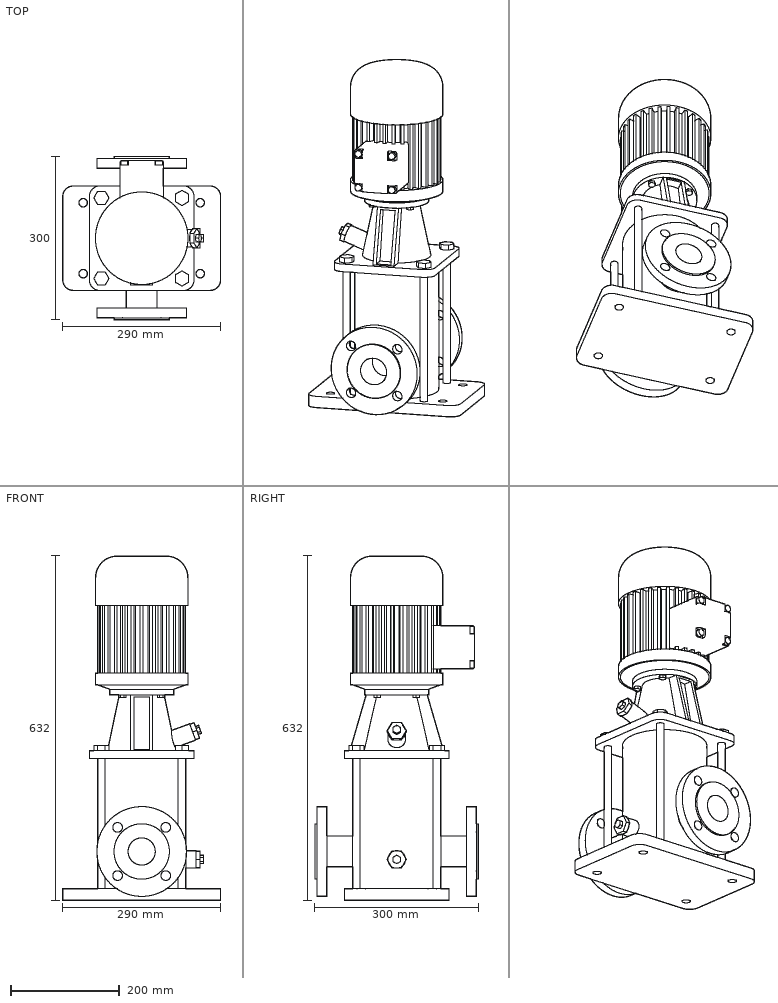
import cadquery as cq
import math


base_length = 290.0
plate_width = 192.0
base_thickness = 21.5
plate_corner_radius = 19.5
base_hole_diameter = 15.0
base_hole_x = 107.5
base_hole_y = 65.0

barrel_diameter = 155.0
upper_plate_bottom = 260.5
upper_plate_top = 275.0
rod_diameter = 14.0
rod_offset = 74.0
nut_across_corners = 28.0
nut_height = 9.5

port_height = 90.0
port_span = 300.0
port_face_y = port_span / 2
raised_face_diameter = 102.0
raised_face_height = 4.0
flange_diameter = 165.0
flange_thickness = 18.5
pipe_diameter = 57.0
bore_diameter = 50.0
flange_hole_diameter = 18.0
flange_hole_offset = 44.0

lantern_bottom_diameter = 126.0
lantern_top_diameter = 83.0
rib_outer_x = 20.0
rib_thickness = 6.5
rib_bottom_y = 86.0
rib_top_y = 56.0
foot_web_height = 2.0
head_web_height = 4.5

motor_foot_bottom = 377.0
motor_foot_top = 387.5
motor_ring_bottom = 395.5
fins_bottom = 417.0
fins_top = 541.0
motor_top = 632.0
motor_foot_diameter = 118.0
motor_diameter = 170.0
motor_bell_diameter = 163.0
dome_radius = 40.0
fin_count = 30
fin_thickness = 6.0
fin_tip_radius = 81.0
fin_root_radius = 69.5
core_overlap = 6.5
foot_bolt_spacing = 71.5
foot_bolt_across_corners = 13.0
foot_bolt_height = 5.0

box_width = 79.5
box_bottom = 425.0
box_top = 504.5
box_inner_y = 57.0
box_outer_y = 143.0
box_edge_radius = 4.5
lid_notch_width = 16.0
lid_notch_depth = 8.0
lid_screw_diameter = 12.5
lid_screw_height = 7.0

plug_diameter = 32.0
plug_cap_across_corners = 35.5
plug_cap_height = 8.0
plug_head_across_corners = 16.0
plug_head_height = 6.5
drain_height = 75.0
drain_cap_x = 99.0
vent_tilt = 20.0
vent_cap_x = 93.5
vent_cap_z = 309.0
plug_embedded_length = 57.0


def cylinder(diameter, bottom, top):
    return cq.Workplane("XY").workplane(offset=bottom).circle(diameter / 2).extrude(top - bottom)


def hexagon_prism(across_corners, height):
    return cq.Workplane("XY").polygon(6, across_corners).extrude(height)


def square_points(offset):
    return [(x, y) for x in (-offset, offset) for y in (-offset, offset)]


def rounded_plate(length, bottom, top):
    plate = cq.Workplane("XY").workplane(offset=bottom).rect(length, plate_width).extrude(top - bottom)
    return plate.edges("|Z").fillet(plate_corner_radius)


def make_base():
    holes = [(x, y) for x in (-base_hole_x, base_hole_x) for y in (-base_hole_y, base_hole_y)]
    base = rounded_plate(base_length, 0, base_thickness)
    return base.faces(">Z").workplane(origin=(0, 0, 0)).pushPoints(holes).hole(base_hole_diameter)


def make_pump_body():
    body = cylinder(barrel_diameter, base_thickness, upper_plate_bottom)
    body = body.union(rounded_plate(plate_width, upper_plate_bottom, upper_plate_top))
    for x, y in square_points(rod_offset):
        body = body.union(cylinder(rod_diameter, base_thickness, upper_plate_bottom).translate((x, y, 0)))
        turn = 30 if x > 0 else 0
        nut = hexagon_prism(nut_across_corners, nut_height).rotate((0, 0, 0), (0, 0, 1), turn)
        body = body.union(nut.translate((x, y, upper_plate_top)))
    return body


def make_port():
    """Pipe and flange on the -Y side, bored up to the surface of the barrel."""
    flange_front = port_face_y - raised_face_height

    def disc(diameter, outer_y, depth):
        sketch = cq.Workplane("XZ").workplane(offset=outer_y).center(0, port_height)
        return sketch.circle(diameter / 2).extrude(-depth)

    port = disc(raised_face_diameter, port_face_y, raised_face_height)
    port = port.union(disc(flange_diameter, flange_front, flange_thickness))
    port = port.union(disc(pipe_diameter, flange_front, flange_front))
    port = port.cut(disc(bore_diameter, port_face_y, port_face_y))
    for x, z in square_points(flange_hole_offset):
        hole = disc(flange_hole_diameter, port_face_y, raised_face_height + flange_thickness)
        port = port.cut(hole.translate((x, 0, z)))
    return port.cut(cylinder(barrel_diameter, 0, upper_plate_bottom))


def make_lantern():
    lantern = (
        cq.Workplane("XY").workplane(offset=upper_plate_top).circle(lantern_bottom_diameter / 2)
        .workplane(offset=motor_foot_bottom - upper_plate_top).circle(lantern_top_diameter / 2)
        .loft()
    )
    ribs = (
        cq.Workplane("YZ").workplane(offset=-rib_outer_x)
        .polyline([
            (-rib_bottom_y, upper_plate_top),
            (rib_bottom_y, upper_plate_top),
            (rib_top_y, motor_foot_bottom),
            (-rib_top_y, motor_foot_bottom),
        ])
        .close().extrude(2 * rib_outer_x)
    )
    window_width = 2 * (rib_outer_x - rib_thickness)
    window_bottom = upper_plate_top + foot_web_height
    window_top = motor_foot_bottom - head_web_height
    window = (
        cq.Workplane("XY").workplane(offset=window_bottom)
        .rect(window_width, 2 * rib_bottom_y)
        .extrude(window_top - window_bottom)
    )
    return lantern.union(ribs.cut(window))


def make_motor():
    radius = motor_diameter / 2
    foot_radius = motor_foot_diameter / 2
    dome_start = motor_top - dome_radius
    dome_middle = dome_radius * math.sqrt(0.5)
    motor = (
        cq.Workplane("XZ")
        .moveTo(0, motor_foot_bottom)
        .lineTo(foot_radius, motor_foot_bottom)
        .lineTo(foot_radius, motor_foot_top)
        .lineTo(motor_bell_diameter / 2, motor_ring_bottom)
        .lineTo(radius, motor_ring_bottom)
        .lineTo(radius, fins_bottom)
        .lineTo(fin_root_radius, fins_bottom)
        .lineTo(fin_root_radius, fins_top)
        .lineTo(radius, fins_top)
        .lineTo(radius, dome_start)
        .threePointArc(
            (radius - dome_radius + dome_middle, dome_start + dome_middle),
            (radius - dome_radius, motor_top),
        )
        .lineTo(0, motor_top)
        .close()
        .revolve(360, (0, 0, 0), (0, 1, 0))
    )
    fin_start = fin_root_radius - core_overlap
    fins = (
        cq.Workplane("XY").workplane(offset=fins_bottom)
        .polarArray((fin_start + fin_tip_radius) / 2, -90, 360, fin_count)
        .rect(fin_tip_radius - fin_start, fin_thickness)
        .extrude(fins_top - fins_bottom)
    )
    motor = motor.union(fins)
    for x, y in square_points(foot_bolt_spacing / 2):
        bolt = hexagon_prism(foot_bolt_across_corners, foot_bolt_height)
        motor = motor.union(bolt.translate((x, y, motor_foot_bottom - foot_bolt_height)))
    return motor


def make_terminal_box():
    box_height = box_top - box_bottom
    middle_z = (box_bottom + box_top) / 2
    notch_y = box_outer_y - lid_notch_depth

    def sketch_at(y):
        return cq.Workplane("XZ").workplane(offset=-y).center(0, middle_z)

    corners = [
        (side * (box_width - lid_notch_width) / 2, level * (box_height - lid_notch_width) / 2)
        for side in (-1, 1)
        for level in (-1, 1)
    ]
    box = sketch_at(box_inner_y).rect(box_width, box_height).extrude(box_inner_y - box_outer_y)
    box = box.edges("|Y or >Y").fillet(box_edge_radius)
    notches = sketch_at(notch_y).pushPoints(corners).rect(lid_notch_width, lid_notch_width)
    screws = sketch_at(notch_y).pushPoints(corners).circle(lid_screw_diameter / 2)
    return box.cut(notches.extrude(-lid_notch_depth)).union(screws.extrude(-lid_screw_height))


def make_plug():
    """Plug along +X with the underside of its cap at the origin."""
    stem = cylinder(plug_diameter, -plug_embedded_length, 0)
    cap = hexagon_prism(plug_cap_across_corners, plug_cap_height).rotate((0, 0, 0), (0, 0, 1), 30)
    head = hexagon_prism(plug_head_across_corners, plug_head_height).translate((0, 0, plug_cap_height))
    return stem.union(cap).union(head).rotate((0, 0, 0), (0, 1, 0), 90)


port = make_port()
drain_plug = make_plug().translate((drain_cap_x, 0, drain_height))
vent_plug = make_plug().rotate((0, 0, 0), (0, 1, 0), -vent_tilt).translate((vent_cap_x, 0, vent_cap_z))

result = (
    make_base()
    .union(make_pump_body())
    .union(port)
    .union(port.mirror("XZ"))
    .union(make_lantern())
    .union(make_motor())
    .union(make_terminal_box())
    .union(drain_plug)
    .union(vent_plug)
)